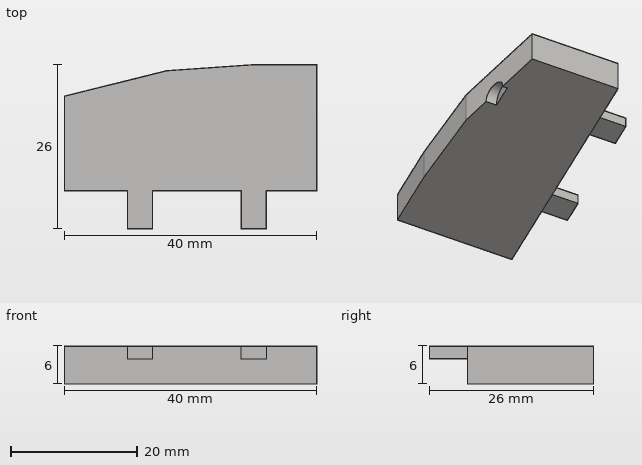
import cadquery as cq

length = 40
width = 20
thickness = 6

left_side_width = 15.0
bend_x = 16.2
bend_width = 19.05
full_width_x = 30

tab_width = 4
tab_length = 6
tab_thickness = 2
tab_starts_x = (10, 28)

notch_radius = 2
notch_center_x = 9.3
notch_center_z = 0.2
notch_floor_y = 16


def make_plate():
    outline = [
        (0, 0),
        (length, 0),
        (length, width),
        (full_width_x, width),
        (bend_x, bend_width),
        (0, left_side_width),
    ]
    return cq.Workplane("XY").polyline(outline).close().extrude(thickness)


def make_tab(start_x):
    return (
        cq.Workplane("XY")
        .box(tab_width, tab_length, tab_thickness, centered=False)
        .translate((start_x, -tab_length, thickness - tab_thickness))
    )


def make_notch_cutter():
    return (
        cq.Workplane("XZ", origin=(notch_center_x, notch_floor_y, notch_center_z))
        .circle(notch_radius)
        .extrude(notch_floor_y - width)
    )


result = make_plate()
for tab_start_x in tab_starts_x:
    result = result.union(make_tab(tab_start_x))
result = result.cut(make_notch_cutter())